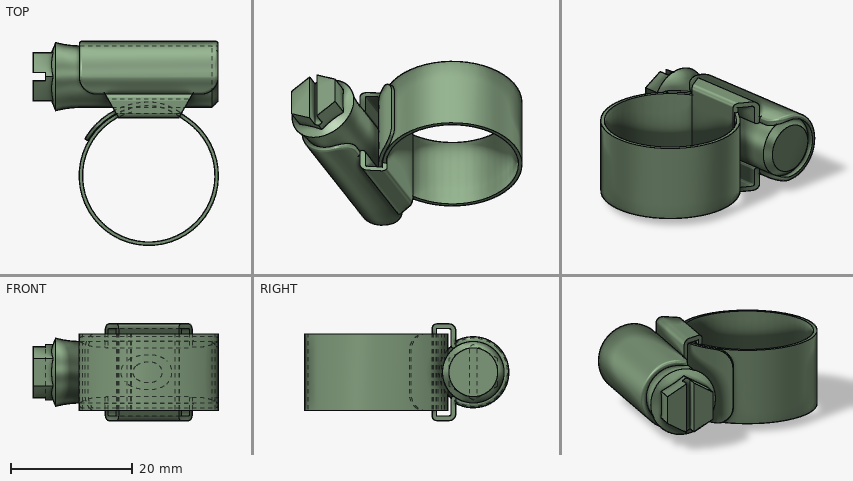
import cadquery as cq
import math


BAND_OUTER_R = 11.5
BAND_T = 0.6
BAND_INNER_R = BAND_OUTER_R - BAND_T
BAND_WIDTH = 12.65
OVERLAP_GAP = 0.07
TAIL_INNER_R = BAND_OUTER_R + OVERLAP_GAP
TAIL_CORNER_R = 2.9
RAMP_START = 55
RAMP_END = 90
TAIL_END = 150
INNER_END = 105

SCREW_Y = 16.35
SCREW_R = 5.08
SCREW_CHAMFER = 1.06
HEX_FLATS = 7.95
HEX_END_X = -19.09
SLOT_WIDTH = 1.3
SLOT_DEPTH = 2.05
HEAD_R = 5.63
HEAD_RIM_X = -15.35
HEAD_FACE_SLOPE = 0.41
HEAD_FACE_X = HEAD_RIM_X - HEAD_FACE_SLOPE * (HEAD_R - HEX_FLATS / 2)
FLARE_SAG = 0.12

BARREL_R = 5.88
BARREL_LENGTH = 22.9
BARREL_EDGE_Y = 13.47
BARREL_CORNER_R = 2.85
BARREL_EDGE_FILLET = 0.5
SHEET_T = BARREL_R - SCREW_R
BOX_HEIGHT = 16.0
PLATE_Y = 9.55
PLATE_T = 0.73
BEND_TOP_R = 1.15
BEND_BASE_R = 0.8
BEND_INNER_R = BEND_TOP_R - SHEET_T
MOUTH_R = 0.4
BOX_HALF_TOP = 7.2
BOX_HALF_BASE = 4.95


def polar(radius, degrees):
    angle = math.radians(degrees)
    return (radius * math.cos(angle), radius * math.sin(angle))


def ring_sector(inner_r, start, end):
    """Band-thick strip following a circle from one angle to another."""
    outer_r = inner_r + BAND_T
    middle = (start + end) / 2
    return (
        cq.Workplane("XY", origin=(0, 0, -BAND_WIDTH / 2))
        .moveTo(*polar(inner_r, start))
        .threePointArc(polar(inner_r, middle), polar(inner_r, end))
        .lineTo(*polar(outer_r, end))
        .threePointArc(polar(outer_r, middle), polar(outer_r, start))
        .close()
        .extrude(BAND_WIDTH)
    )


def ramp():
    """Strip that climbs from the ring up to the tail."""
    forward_start = polar(1, RAMP_START + 90)
    forward_end = polar(1, RAMP_END + 90)
    back_start = polar(1, RAMP_START - 90)
    back_end = polar(1, RAMP_END - 90)
    return (
        cq.Workplane("XY", origin=(0, 0, -BAND_WIDTH / 2))
        .moveTo(*polar(BAND_INNER_R, RAMP_START))
        .spline([polar(TAIL_INNER_R, RAMP_END)], tangents=[forward_start, forward_end], includeCurrent=True)
        .lineTo(*polar(TAIL_INNER_R + BAND_T, RAMP_END))
        .spline([polar(BAND_OUTER_R, RAMP_START)], tangents=[back_end, back_start], includeCurrent=True)
        .close()
        .extrude(BAND_WIDTH)
    )


def make_band(screw):
    tail = ring_sector(TAIL_INNER_R, RAMP_END, TAIL_END)
    end_middle = polar(TAIL_INNER_R + BAND_T / 2, TAIL_END)
    for side in (-1, 1):
        corner = (*end_middle, side * BAND_WIDTH / 2)
        tail = tail.edges(cq.NearestToPointSelector(corner)).fillet(TAIL_CORNER_R)
    ring = ring_sector(BAND_INNER_R, INNER_END, RAMP_START + 360)
    band = ring.union(ramp()).union(tail)
    return band.cut(screw)


def make_screw():
    end_x = BARREL_LENGTH / 2
    flare_middle = ((HEAD_RIM_X - end_x) / 2, (HEAD_R + SCREW_R) / 2 - FLARE_SAG)
    shank = (
        cq.Workplane("XY")
        .moveTo(HEAD_FACE_X, 0)
        .lineTo(HEAD_FACE_X, HEX_FLATS / 2)
        .lineTo(HEAD_RIM_X, HEAD_R)
        .threePointArc(flare_middle, (-end_x, SCREW_R))
        .lineTo(end_x - SCREW_CHAMFER, SCREW_R)
        .lineTo(end_x, SCREW_R - SCREW_CHAMFER)
        .lineTo(end_x, 0)
        .close()
        .revolve(360, (0, 0, 0), (1, 0, 0))
    )
    hexagon = (
        cq.Workplane("YZ", origin=(HEX_END_X, 0, 0))
        .transformed(rotate=(0, 0, 90))
        .polygon(6, HEX_FLATS / math.cos(math.pi / 6))
        .extrude(HEAD_RIM_X - HEX_END_X)
    )
    slot = cq.Workplane("XY", origin=(HEX_END_X, 0, 0)).box(2 * SLOT_DEPTH, SLOT_WIDTH, 2 * HEX_FLATS)
    return shank.union(hexagon).cut(slot).translate((0, SCREW_Y, 0))


def box_half_length(y):
    """Half length of the tapering box at height y."""
    slope = (BOX_HALF_TOP - BOX_HALF_BASE) / (BARREL_EDGE_Y - PLATE_Y)
    return BOX_HALF_BASE + slope * (y - PLATE_Y)


def taper(top_y):
    """Block with the outline of the box, narrowing toward the base plate."""
    half_top = box_half_length(top_y)
    return (
        cq.Workplane("XY", origin=(0, 0, -BOX_HEIGHT / 2))
        .polyline([
            (-half_top, top_y),
            (half_top, top_y),
            (BOX_HALF_BASE, PLATE_Y),
            (-BOX_HALF_BASE, PLATE_Y),
        ])
        .close()
        .extrude(BOX_HEIGHT)
    )


def barrel():
    """Cover over the screw with rounded lower corners and rounded outer edges."""
    height = SCREW_Y + BARREL_R - BARREL_EDGE_Y
    rod = (
        cq.Workplane("YZ", origin=(-BARREL_LENGTH / 2, SCREW_Y, 0))
        .circle(BARREL_R)
        .extrude(BARREL_LENGTH)
    )
    side_shape = (
        cq.Workplane("XY")
        .box(BARREL_LENGTH, height, 2 * BARREL_R)
        .edges("|Z and <Y")
        .fillet(BARREL_CORNER_R)
        .translate((0, BARREL_EDGE_Y + height / 2, 0))
    )
    sharp = rod.intersect(side_shape)
    rounded = sharp.faces("<X or >X or <Y").edges().fillet(BARREL_EDGE_FILLET)
    full_edge = sharp.intersect(taper(BARREL_EDGE_Y + BARREL_EDGE_FILLET))
    return rounded.union(full_edge)


def flange_box():
    """Closed sheet loop around the band, hanging from the barrel."""
    depth = BARREL_EDGE_Y - PLATE_Y
    outer = (
        cq.Workplane("XY")
        .box(2 * BOX_HALF_TOP, depth, BOX_HEIGHT)
        .edges("|X and >Y")
        .fillet(BEND_TOP_R)
        .edges("|X and <Y")
        .fillet(BEND_BASE_R)
        .translate((0, PLATE_Y + depth / 2, 0))
    )
    inner_depth = depth - SHEET_T - PLATE_T
    inner = (
        cq.Workplane("XY")
        .box(2 * BOX_HALF_TOP, inner_depth, BOX_HEIGHT - 2 * SHEET_T)
        .edges("|X and >Y")
        .fillet(BEND_INNER_R)
        .translate((0, PLATE_Y + PLATE_T + inner_depth / 2, 0))
    )
    return outer.cut(inner).intersect(taper(BARREL_EDGE_Y))


def make_housing(band):
    bore = (
        cq.Workplane("YZ", origin=(-BARREL_LENGTH / 2, SCREW_Y, 0))
        .circle(SCREW_R)
        .extrude(BARREL_LENGTH)
    )
    housing = barrel().union(flange_box()).cut(bore)
    mouth_y = BARREL_EDGE_Y - SHEET_T
    mouth_half_z = math.sqrt(SCREW_R**2 - (SCREW_Y - mouth_y)**2)
    for side in (-1, 1):
        mouth_edge = cq.NearestToPointSelector((0, mouth_y, side * mouth_half_z))
        housing = housing.edges(mouth_edge).fillet(MOUTH_R)
    return housing.cut(band)


screw = make_screw()
band = make_band(screw)
housing = make_housing(band)

result = cq.Compound.makeCompound([
    *housing.solids().vals(),
    *band.solids().vals(),
    *screw.solids().vals(),
])